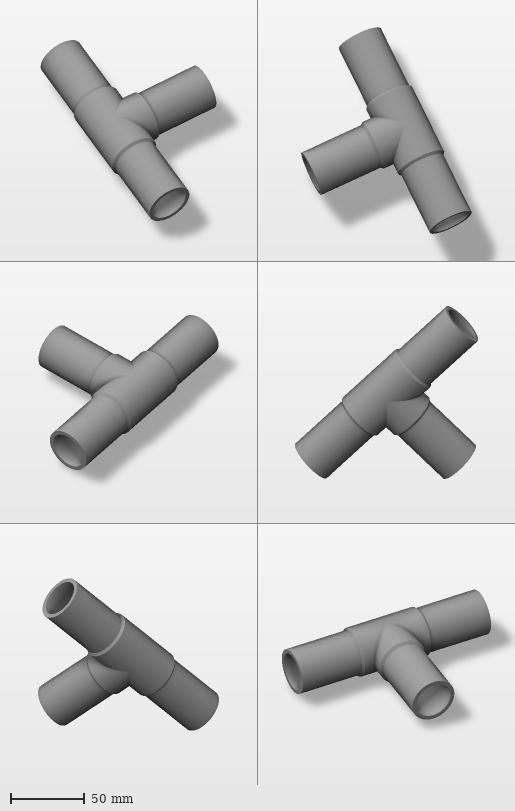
import cadquery as cq

run_length = 144.0
spigot_length = 45.0
branch_collar_reach = 26.0
pipe_diameter = 32.0
bore_diameter = 26.0
collar_diameter = 35.0
chamfer_length = 1.7

pipe_radius = pipe_diameter / 2
bore_radius = bore_diameter / 2
collar_radius = collar_diameter / 2
run_collar_reach = run_length / 2 - spigot_length

TEE_CENTRE = cq.Vector(0, 0, 0)
X_DIRECTION = cq.Vector(1, 0, 0)
Y_DIRECTION = cq.Vector(0, 1, 0)


def arm_cylinder(radius, length, direction):
    """Cylinder from the tee centre outward along one arm."""
    return cq.Workplane(cq.Solid.makeCylinder(radius, length, TEE_CENTRE, direction))


def outer_arm(collar_reach, direction):
    """Solid pipe with its thicker collar, which tapers down to the pipe."""
    straight_length = collar_reach - chamfer_length
    pipe = arm_cylinder(pipe_radius, collar_reach + spigot_length, direction)
    collar = arm_cylinder(collar_radius, straight_length, direction)
    taper_start = direction * straight_length
    taper = cq.Workplane(
        cq.Solid.makeCone(collar_radius, pipe_radius, chamfer_length, taper_start, direction)
    )
    return pipe.union(collar).union(taper)


arms = [
    (run_collar_reach, X_DIRECTION),
    (run_collar_reach, X_DIRECTION * -1),
    (branch_collar_reach, Y_DIRECTION),
]

result = outer_arm(*arms[0])
for arm_collar_reach, arm_direction in arms[1:]:
    result = result.union(outer_arm(arm_collar_reach, arm_direction))

for arm_collar_reach, arm_direction in arms:
    bore_length = arm_collar_reach + spigot_length
    result = result.cut(arm_cylinder(bore_radius, bore_length, arm_direction))